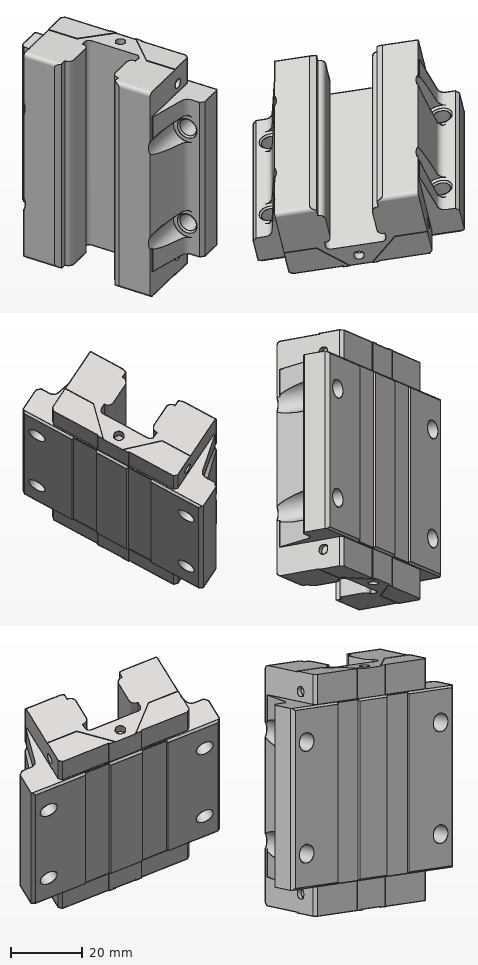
import cadquery as cq
import math


overall_width = 59.0
overall_height = 23.0
overall_length = 69.0

block_length = 51.9
flange_bottom = 14.1
flange_chamfer = 1.05
side_bevel = 1.0
end_bevel_width = 0.55
end_bevel_depth = 0.7
leg_foot_half_width = 20.5
leg_slope_angle = 14.0
flange_root_radius = 2.2

relief_inner = 5.0
relief_outer = 13.0
relief_depth = 0.5
relief_draft = 0.3

cap_width = 41.0
cap_back = 21.9
cap_corner_chamfer = 0.9
crown_half_width = 5.1
crown_back = 22.15
panel_thickness = 0.2
panel_bottom = flange_bottom
panel_inner_top = 3.2
cap_edge_radius = 1.25

trim_height = 1.1

channel_top = 15.3
channel_half_width = 8.6
channel_corner_radius = 1.4
bearing_half_gap = 6.7
bearing_bottom = 2.7
bearing_top = 12.55
bearing_radius = 1.7
mouth_chamfer_x = 1.8
mouth_chamfer_y = 0.8

hole_x = 24.4
hole_z = 15.95
hole_diameter = 5.3
countersink_diameter = 6.35
scoop_radius = 4.5

port_diameter = 2.9
end_port_y = 19.0
end_port_depth = 2.75
drill_point_angle = 118.0
side_port_y = 15.6
side_port_z = 28.85
side_port_depth = 1.4

SIDES = (-1, 1)


def both_sides(half):
    """Join a +X half with its mirror image."""
    return half.union(half.mirror("YZ"))


def along_rail(sketch, length):
    """Extrude an XY outline symmetrically about Z = 0."""
    return sketch.extrude(length / 2, both=True)


def make_block():
    half_width = overall_width / 2
    root_x = leg_foot_half_width + flange_bottom * math.tan(math.radians(leg_slope_angle))
    half = along_rail(
        cq.Workplane("XY")
        .moveTo(0, 0)
        .lineTo(leg_foot_half_width, 0)
        .lineTo(root_x, flange_bottom)
        .lineTo(half_width - flange_chamfer, flange_bottom)
        .lineTo(half_width, flange_bottom + flange_chamfer)
        .lineTo(half_width, overall_height)
        .lineTo(0, overall_height)
        .close(),
        block_length,
    )
    root = cq.selectors.NearestToPointSelector((root_x, flange_bottom, 0))
    block = both_sides(half.edges(root).fillet(flange_root_radius))

    block = block.faces(">Y").edges("|Z").chamfer(side_bevel)
    end_bevel = (
        cq.Workplane("YZ")
        .moveTo(overall_height, block_length / 2 - end_bevel_width)
        .lineTo(overall_height, block_length / 2)
        .lineTo(overall_height - end_bevel_depth, block_length / 2)
        .close()
        .extrude(half_width, both=True)
    )
    return block.cut(end_bevel).cut(end_bevel.mirror("XY"))


def make_relief_slots():
    floor = overall_height - relief_depth
    return both_sides(
        along_rail(
            cq.Workplane("XY")
            .moveTo(relief_inner, overall_height)
            .lineTo(relief_outer, overall_height)
            .lineTo(relief_outer - relief_draft, floor)
            .lineTo(relief_inner + relief_draft, floor)
            .close(),
            block_length,
        )
    )


def make_scoops_and_holes():
    cutters = cq.Workplane("XY")
    countersink_depth = (countersink_diameter - hole_diameter) / 2
    for side_x in SIDES:
        for side_z in SIDES:
            foot = cq.Workplane("XZ", origin=(side_x * hole_x, 0, side_z * hole_z))
            seat = foot.workplane(offset=-flange_bottom)
            cutters = cutters.union(foot.circle(scoop_radius).extrude(-flange_bottom))
            cutters = cutters.union(foot.circle(hole_diameter / 2).extrude(-overall_height))
            countersink = (
                seat.circle(countersink_diameter / 2)
                .workplane(offset=-countersink_depth)
                .circle(hole_diameter / 2)
                .loft()
            )
            cutters = cutters.union(countersink)
    return cutters


def make_foot_trims():
    """Outside each leg foot, from the scoops outward to the block ends."""
    trim_width = scoop_radius
    trim_length = block_length / 2 - hole_z
    trims = cq.Workplane("XY")
    for side_x in SIDES:
        for side_z in SIDES:
            x = side_x * (cap_width + trim_width) / 2
            z = side_z * (hole_z + trim_length / 2)
            trim = cq.Workplane("XY").box(trim_width, trim_height, trim_length)
            trims = trims.union(trim.translate((x, trim_height / 2, z)))
    return trims


def make_caps():
    """Both end caps, as one bar passing through the block."""
    body_length = overall_length - 2 * panel_thickness
    body = cq.Workplane("XY").rect(cap_width, cap_back).extrude(body_length / 2, both=True)
    body = body.translate((0, cap_back / 2, 0))
    body = body.edges("|Z and >Y").chamfer(cap_corner_chamfer)
    body = body.faces("<Y").edges("|X").fillet(cap_edge_radius)
    crown = cq.Workplane("XY").box(2 * crown_half_width, crown_back - channel_top, body_length)
    return body.union(crown.translate((0, (crown_back + channel_top) / 2, 0)))


def make_panels():
    """Raised panels on the upper corners of the cap ends."""
    half_width = cap_width / 2
    panel_inner_bottom = panel_inner_top + crown_back - panel_bottom
    return both_sides(
        along_rail(
            cq.Workplane("XY")
            .moveTo(panel_inner_bottom, panel_bottom)
            .lineTo(half_width, panel_bottom)
            .lineTo(half_width, cap_back - cap_corner_chamfer)
            .lineTo(half_width - cap_corner_chamfer, cap_back)
            .lineTo(crown_half_width, cap_back)
            .lineTo(crown_half_width, crown_back)
            .lineTo(panel_inner_top, crown_back)
            .close(),
            overall_length,
        )
    )


def make_channel():
    """Rail channel, with the bearing lips left standing on each leg."""
    return both_sides(
        along_rail(
            cq.Workplane("XY")
            .moveTo(0, 0)
            .lineTo(channel_half_width + mouth_chamfer_x, 0)
            .lineTo(channel_half_width, mouth_chamfer_y)
            .lineTo(channel_half_width, bearing_bottom)
            .lineTo(bearing_half_gap + bearing_radius, bearing_bottom)
            .radiusArc((bearing_half_gap, bearing_bottom + bearing_radius), bearing_radius)
            .lineTo(bearing_half_gap, bearing_top - bearing_radius)
            .radiusArc((bearing_half_gap + bearing_radius, bearing_top), bearing_radius)
            .lineTo(channel_half_width, bearing_top)
            .lineTo(channel_half_width, channel_top - channel_corner_radius)
            .radiusArc((channel_half_width - channel_corner_radius, channel_top), -channel_corner_radius)
            .lineTo(0, channel_top)
            .close(),
            overall_length,
        )
    )


def make_end_ports():
    """Drilled ports with conical bottoms, one in each cap end."""
    radius = port_diameter / 2
    face_z = overall_length / 2 - panel_thickness
    shoulder_z = face_z - end_port_depth
    tip_z = shoulder_z - radius / math.tan(math.radians(drill_point_angle / 2))
    port = (
        cq.Workplane("XZ")
        .moveTo(0, tip_z)
        .lineTo(radius, shoulder_z)
        .lineTo(radius, face_z)
        .lineTo(0, face_z)
        .close()
        .revolve(360, (0, 0, 0), (0, 1, 0))
        .translate((0, end_port_y, 0))
    )
    return port.union(port.mirror("XY"))


def make_side_ports():
    floor_x = cap_width / 2 - side_port_depth
    return both_sides(
        cq.Workplane("YZ", origin=(floor_x, 0, 0))
        .pushPoints([(side_port_y, side * side_port_z) for side in SIDES])
        .circle(port_diameter / 2)
        .extrude(side_port_depth)
    )


block = make_block().cut(make_relief_slots()).cut(make_foot_trims())
carriage = block.union(make_caps()).union(make_panels())
carriage = carriage.cut(make_channel()).cut(make_scoops_and_holes())
result = carriage.cut(make_end_ports()).cut(make_side_ports())